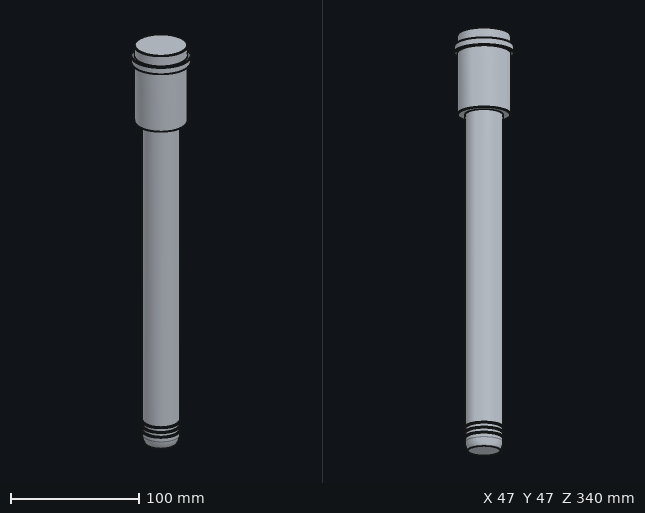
import cadquery as cq

total_length = 340.0
head_length = 65.3
cap_length = 9.0
collar_length = 6.0

rod_diameter = 30.0
head_diameter = 41.8
collar_diameter = 47.0
shoulder_diameter = 26.5
tip_diameter = 25.5

edge_chamfer = 0.5

nose_length = 7.0
tip_length = 0.7
groove_count = 3
groove_pitch = 4.0
groove_width = 1.0
groove_depth = 0.5
first_groove_bottom = nose_length + groove_pitch - groove_width

head_bottom = total_length - head_length
collar_top = total_length - cap_length
collar_bottom = collar_top - collar_length


def cylinder(diameter, bottom, length):
    """Solid cylinder on the Z axis starting at height bottom."""
    return cq.Workplane("XY").workplane(offset=bottom).circle(diameter / 2).extrude(length)


def rod():
    """Rod whose lower end curves in to a shoulder and a short bevel around the flat tip."""
    rod_radius = rod_diameter / 2
    profile = (
        cq.Workplane("XZ")
        .moveTo(0, total_length)
        .lineTo(rod_radius, total_length)
        .lineTo(rod_radius, nose_length)
        .tangentArcPoint((shoulder_diameter / 2, tip_length), relative=False)
        .lineTo(tip_diameter / 2, 0)
        .lineTo(0, 0)
        .close()
    )
    return profile.revolve(360, (0, 0, 0), (0, 1, 0))


def groove(bottom):
    """Ring that cuts a shallow groove around the rod."""
    floor_diameter = rod_diameter - 2 * groove_depth
    return cylinder(collar_diameter, bottom, groove_width).cut(
        cylinder(floor_diameter, bottom, groove_width)
    )


head = cylinder(head_diameter, head_bottom, head_length).edges("%CIRCLE").chamfer(edge_chamfer)
collar = cylinder(collar_diameter, collar_bottom, collar_length)
collar = collar.edges("%CIRCLE").chamfer(edge_chamfer)
result = rod().cut(cylinder(head_diameter, head_bottom, head_length)).union(head).union(collar)

for index in range(groove_count):
    result = result.cut(groove(first_groove_bottom + index * groove_pitch))